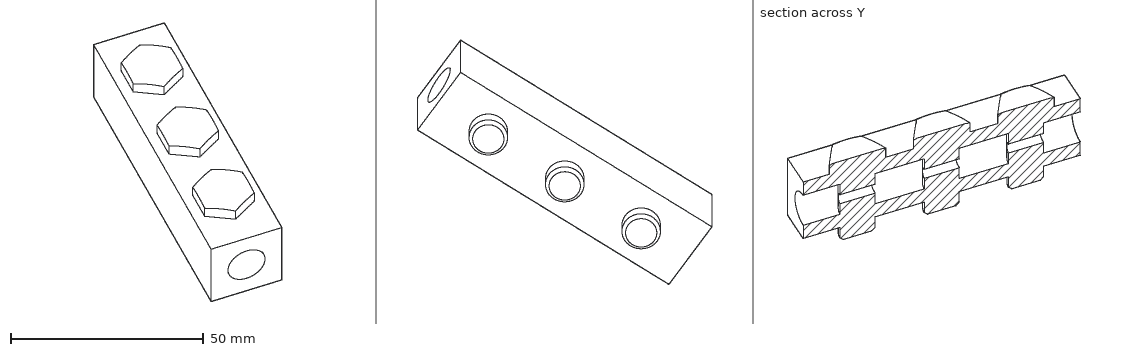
import cadquery as cq
import math

block_length = 79.0
block_side = 20.0
half_side = block_side / 2

bore_diameter = 10.4
cross_hole_diameter = 3.0

bolt_count = 3
bolt_spacing = 24.0
head_across_flats = 14.0
head_height = 3.4
head_corner_drop = 0.3
shank_diameter = 10.0
shank_projection = 4.6
tip_chamfer = 0.95

head_across_corners = head_across_flats / math.cos(math.pi / 6)
head_top = half_side + head_height
shank_bottom = -half_side - shank_projection


def make_block():
    """Square block with its lengthwise through bore."""
    block = cq.Workplane("XY").box(block_length, block_side, block_side)
    return block.faces("<X").workplane().hole(bore_diameter)


def make_head():
    """Hexagon head whose top corners are trimmed by a shallow cone."""
    head = (
        cq.Workplane("XY")
        .workplane(offset=half_side)
        .polygon(6, head_across_corners)
        .extrude(head_height)
    )
    corner_radius = head_across_corners / 2
    trim = (
        cq.Workplane("XZ")
        .moveTo(0, half_side)
        .lineTo(corner_radius, half_side)
        .lineTo(corner_radius, head_top - head_corner_drop)
        .lineTo(head_across_flats / 2, head_top)
        .lineTo(0, head_top)
        .close()
        .revolve(360, (0, 0, 0), (0, 1, 0))
    )
    return head.intersect(trim)


def make_shank():
    """Round shank with a chamfered tip below the block."""
    return (
        cq.Workplane("XY")
        .workplane(offset=shank_bottom)
        .circle(shank_diameter / 2)
        .extrude(half_side - shank_bottom)
        .faces("<Z")
        .chamfer(tip_chamfer)
    )


def make_cross_hole():
    """Cutter that runs through all the shanks along the bore axis."""
    return (
        cq.Workplane("YZ")
        .circle(cross_hole_diameter / 2)
        .extrude(block_length / 2, both=True)
    )


result = make_block()
for index in range(bolt_count):
    bolt_x = (index - (bolt_count - 1) / 2) * bolt_spacing
    for bolt_part in (make_head(), make_shank()):
        result = result.union(bolt_part.translate((bolt_x, 0, 0)))

result = result.cut(make_cross_hole())